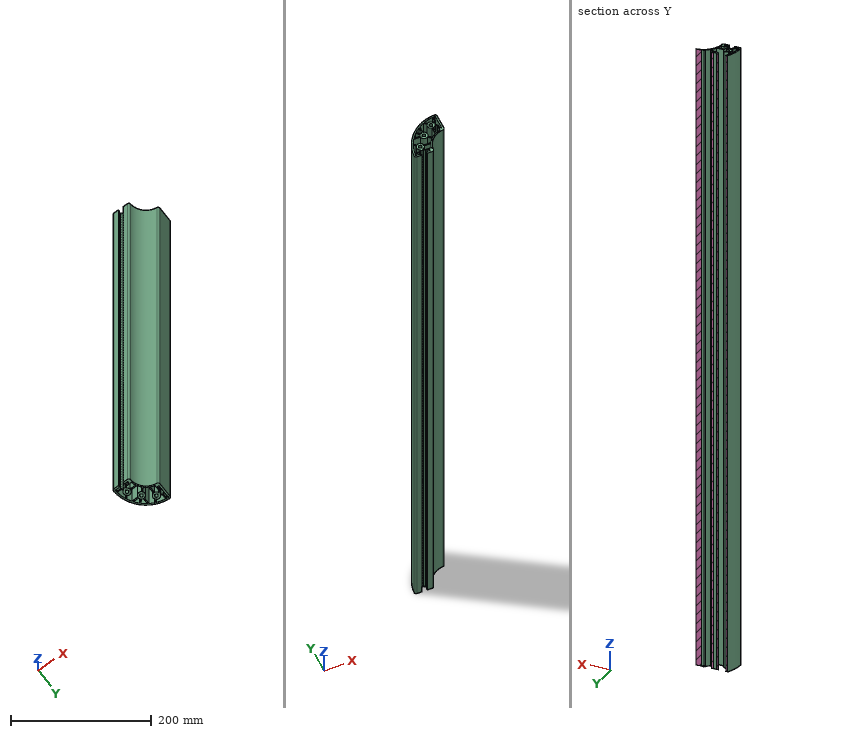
import cadquery as cq
import math

LENGTH = 1000.0
OUTER_RADIUS = 60.0
INNER_RADIUS = 30.0
OUTER_WALL = 2.7
INNER_WALL = 2.1
CORNER_RADIUS = 3.0

BEND_X = OUTER_RADIUS / 2
BEND_Y = -OUTER_RADIUS / 2
MID_RADIUS = (OUTER_RADIUS + INNER_RADIUS) / 2
DIAGONAL = math.sqrt(0.5)

SLOT_X = BEND_X - MID_RADIUS
SLOT_OPENING = 8.4
SLOT_LIP = 3.0
SLOT_WING_DEPTH = 5.7
SLOT_FLOOR_DEPTH = 8.0
SLOT_FLOOR_WIDTH = 4.0
SLOT_WALL = 1.5
INNER_WING_REACH = 10.0

CHANNEL_DIAMETER = 5.0
BOSS_DIAMETER = 11.75
RIB = 1.9
RIB_REACH = 20.0
MID_RIB_ANGLES = (90, 135, 180, -45)
END_RIB_ANGLES = (0, 135)
END_BOSS = (SLOT_X, BEND_Y + MID_RADIUS - INNER_RADIUS)
MID_BOSS = (BEND_X - MID_RADIUS * DIAGONAL, BEND_Y + MID_RADIUS * DIAGONAL)


def extrude(outline):
    """Prism over the full length, centred on z = 0."""
    return outline.extrude(LENGTH / 2, both=True)


def box(x_min, x_max, y_min, y_max):
    outline = cq.Workplane("XY").center((x_min + x_max) / 2, (y_min + y_max) / 2)
    return extrude(outline.rect(x_max - x_min, y_max - y_min))


def cylinder(center, diameter):
    return extrude(cq.Workplane("XY").center(*center).circle(diameter / 2))


def both_ends(body):
    """The body together with its mirror image across the diagonal y = -x."""
    mirrored = body.mirror("YZ").rotate((0, 0, 0), (0, 0, 1), 90)
    return body.union(mirrored)


def quarter_ring(inner_radius, outer_radius):
    """Quarter ring about the bend axis, between the two flat end faces."""
    outer_middle = (-outer_radius * DIAGONAL, outer_radius * DIAGONAL)
    inner_middle = (-inner_radius * DIAGONAL, inner_radius * DIAGONAL)
    outline = (
        cq.Workplane("XY", origin=(BEND_X, BEND_Y, 0))
        .moveTo(-outer_radius, 0)
        .threePointArc(outer_middle, (0, outer_radius))
        .lineTo(0, inner_radius)
        .threePointArc(inner_middle, (-inner_radius, 0))
        .close()
    )
    return extrude(outline)


def outer_shape():
    """Solid quarter ring with its four long edges rounded."""
    return quarter_ring(INNER_RADIUS, OUTER_RADIUS).edges("|Z").fillet(CORNER_RADIUS)


def slot_profile(start_depth, wall):
    """Prism from a start depth to the slot's stepped floor, which is moved inward by a wall."""
    x_min = BEND_X - OUTER_RADIUS
    x_max = BEND_X - INNER_RADIUS
    start_y = BEND_Y + start_depth
    wing_y = BEND_Y + SLOT_WING_DEPTH + wall
    floor_y = BEND_Y + SLOT_FLOOR_DEPTH + wall
    floor_half = SLOT_FLOOR_WIDTH / 2 + wall * math.tan(math.radians(45 / 2))
    flank_half = floor_half + floor_y - wing_y
    outline = cq.Workplane("XY").polyline(
        [
            (x_min, start_y),
            (x_min, wing_y),
            (SLOT_X - flank_half, wing_y),
            (SLOT_X - floor_half, floor_y),
            (SLOT_X + floor_half, floor_y),
            (SLOT_X + flank_half, wing_y),
            (x_max, wing_y),
            (x_max, start_y),
        ]
    ).close()
    return extrude(outline)


def slot_pocket(hollow):
    """Space of one T-slot behind its lips."""
    x_min = BEND_X - OUTER_RADIUS
    reach = box(x_min, SLOT_X + INNER_WING_REACH, BEND_Y, BEND_Y + SLOT_FLOOR_DEPTH)
    return slot_profile(SLOT_LIP, 0).intersect(hollow).intersect(reach)


def slot_opening():
    """Gap between the lips of the lower slot."""
    half = SLOT_OPENING / 2
    return box(SLOT_X - half, SLOT_X + half, BEND_Y, BEND_Y + SLOT_LIP)


def ribbed_boss(center, angles):
    """Boss with flat ribs leaving its centre at the given angles in degrees."""
    body = cylinder(center, BOSS_DIAMETER)
    for angle in angles:
        rib = box(0, RIB_REACH, -RIB / 2, RIB / 2).rotate((0, 0, 0), (0, 0, 1), angle)
        body = body.union(rib.translate((center[0], center[1], 0)))
    return body


def chambers(hollow):
    """Closed hollows left between the ring walls, slot walls, ribs and bosses."""
    end_web = slot_profile(0, SLOT_WALL).union(ribbed_boss(END_BOSS, END_RIB_ANGLES))
    return hollow.cut(both_ends(end_web)).cut(ribbed_boss(MID_BOSS, MID_RIB_ANGLES))


ring_hollow = quarter_ring(INNER_RADIUS + INNER_WALL, OUTER_RADIUS - OUTER_WALL)
result = (
    outer_shape()
    .cut(chambers(ring_hollow))
    .cut(both_ends(slot_pocket(ring_hollow)))
    .cut(slot_opening())
    .cut(both_ends(cylinder(END_BOSS, CHANNEL_DIAMETER)))
    .cut(cylinder(MID_BOSS, CHANNEL_DIAMETER))
)